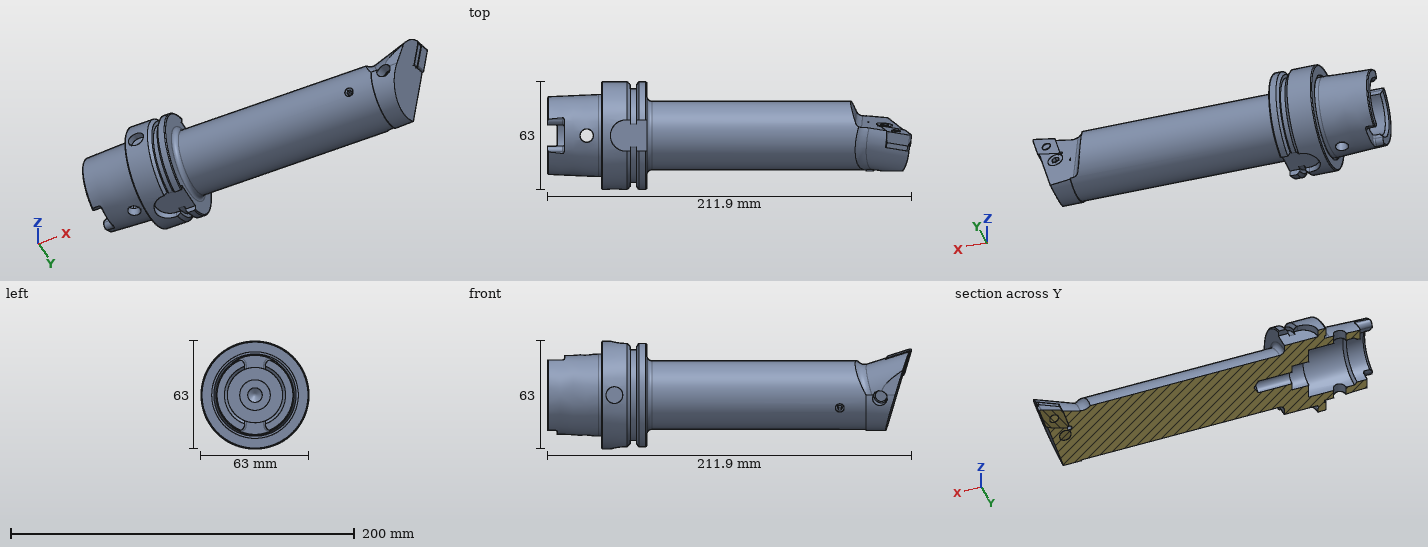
import cadquery as cq
import math


overcut = 84.8

shank_end_radius = 22.7
shank_radius = 24.0
taper_length = 29.7
shank_chamfer = 0.6
bore_mouth_radius = 17.8
bore_radius = 16.0
bore_land_length = 12.0
undercut_radius = 17.8
bore_depth = 42.4
tube_seat_radius = 9.0
tube_seat_depth = 10.5
coolant_radius = 4.2
coolant_depth = 74.2
coolant_tip_angle = 118.0
clamp_hole_x = 22.9
clamp_hole_radius = 3.8

drive_slot_half = 6.1
drive_slot_flare = 3.2
drive_slot_flare_z = 17.4
drive_slot_mouth_half = 12.7
drive_slot_fillet = 1.0
top_drive_slot_depth = 10.0
bottom_drive_slot_depth = 5.7

flange_diameter = 63.0
flange_radius = flange_diameter / 2
flange_start = 31.5
flange_end = 57.8
flange_chamfer = 0.6
face_groove_radius = 25.2
face_groove_depth = 0.8
gripper_start = 46.5
gripper_bevel = 2.0
gripper_floor_start = 48.3
gripper_floor_end = 51.7
gripper_end = 53.2
gripper_wall_radius = 29.5
gripper_floor_radius = 27.3
key_slot_half = 9.1
key_slot_start = 36.7
key_slot_floor = 26.5
chip_hole_x = 39.0
chip_hole_radius = 4.9
chip_hole_depth = 4.5

bar_diameter = 40.0
bar_radius = bar_diameter / 2
neck_fillet = 3.0
head_start = 185.5
head_diameter = 41.3
head_radius = head_diameter / 2
tilt_x = 186.5
tilt_z = -1.7
tilt_radius = 19.0
blend_radius = 6.0
blend_end = 5.7

tip_x = 212.3
tip_y = 0.0
tip_z = 27.3
edge_angle = 17.5
rake_x = 0.1
rake_z = 0.2
insert_angle = 55.0
insert_edge = 15.5
insert_thickness = 6.5
nose_radius = 0.8
shim_thickness = 3.0
shim_end_setback = 0.6
pin_radius = 2.5
pin_recess = 0.5
pin_length = 13.8
corner_relief_radius = 1.3
pocket_floor_x = 182.5
pocket_runout_radius = 4.2
pocket_runout_angle = 65.0
end_setback = 0.8
side_clearance = 4.2

clamp_screw_x = 193.5
clamp_screw_z = -2.0
clamp_screw_hole_radius = 4.2
clamp_screw_radius = 3.4
clamp_screw_hole_depth = 7.8
screw_head_radius = 4.7
screw_head_thickness = 4.2
clamp_socket_across_corners = 4.7
clamp_socket_depth = 2.5
plug_x = 170.2
plug_z = -7.6
plug_radius = 2.5
plug_length = 5.3
plug_recess = 0.6
plug_socket_across_corners = 3.0
plug_socket_depth = 2.5
hexagon_sides = 6

edge_slope = math.tan(math.radians(edge_angle))
tip = cq.Vector(tip_x, tip_y, tip_z)
rake_normal = cq.Vector(rake_x, 1, rake_z).normalized()
edge_direction = cq.Vector(1, -rake_x - rake_z * edge_slope, edge_slope).normalized()
back_direction = edge_direction * -1
in_plane_up = rake_normal.cross(back_direction)
insert_turn = math.radians(insert_angle)
end_edge_direction = back_direction * math.cos(insert_turn) - in_plane_up * math.sin(insert_turn)
insert_center = tip + (back_direction + end_edge_direction) * (insert_edge / 2)
far_corner = tip + (back_direction + end_edge_direction) * insert_edge


def x_cylinder(start, end, radius):
    """A cylinder on the X axis between two X positions."""
    return cq.Workplane("YZ").workplane(offset=start).circle(radius).extrude(end - start)


def rake_plane(origin):
    """A plane parallel to the cutting face, with its own x running back along the top edge."""
    return cq.Workplane(cq.Plane(origin=origin, xDir=back_direction, normal=rake_normal))


def revolve_profile(points):
    """Turn an (x, radius) outline around the X axis."""
    return cq.Workplane("XY").polyline(points).close().revolve(360, (0, 0, 0), (1, 0, 0))


def make_shank_and_flange():
    """Taper shank, flange with gripper groove, and the fillet that leads into the bar."""
    neck_end = flange_end + neck_fillet
    corner = neck_fillet * (1 - math.sqrt(0.5))
    return (
        cq.Workplane("XY")
        .moveTo(0, 0)
        .lineTo(0, shank_end_radius - shank_chamfer)
        .lineTo(shank_chamfer, shank_end_radius)
        .lineTo(taper_length, shank_radius)
        .lineTo(flange_start + face_groove_depth, shank_radius)
        .lineTo(flange_start + face_groove_depth, face_groove_radius)
        .lineTo(flange_start, face_groove_radius)
        .lineTo(flange_start, flange_radius - flange_chamfer)
        .lineTo(flange_start + flange_chamfer, flange_radius)
        .lineTo(gripper_start, flange_radius)
        .lineTo(gripper_floor_start, flange_radius - gripper_bevel)
        .lineTo(gripper_floor_start, gripper_floor_radius)
        .lineTo(gripper_floor_end, gripper_floor_radius)
        .lineTo(gripper_floor_end, gripper_wall_radius)
        .lineTo(gripper_end, flange_radius)
        .lineTo(flange_end - flange_chamfer, flange_radius)
        .lineTo(flange_end, flange_radius - flange_chamfer)
        .lineTo(flange_end, bar_radius + neck_fillet)
        .threePointArc((flange_end + corner, bar_radius + corner), (neck_end, bar_radius))
        .lineTo(neck_end, 0)
        .close()
        .revolve(360, (0, 0, 0), (1, 0, 0))
    )


def make_bore():
    """Clamping bore, coolant tube seat and coolant hole with a drilled tip."""
    mouth = bore_mouth_radius - bore_radius
    undercut_start = bore_land_length + undercut_radius - bore_radius
    seat_end = bore_depth + tube_seat_depth
    drill_tip = coolant_radius / math.tan(math.radians(coolant_tip_angle / 2))
    return revolve_profile([
        (0, 0),
        (0, bore_mouth_radius),
        (mouth, bore_radius),
        (bore_land_length, bore_radius),
        (undercut_start, undercut_radius),
        (bore_depth, undercut_radius),
        (bore_depth, tube_seat_radius),
        (seat_end, tube_seat_radius),
        (seat_end, coolant_radius),
        (coolant_depth, coolant_radius),
        (coolant_depth + drill_tip, 0),
    ])


def make_drive_slot(depth):
    """A slot on the +Z side of the shank end, with walls that flare outward near the outside."""
    outer_half = drive_slot_half + drive_slot_flare
    flare_top = drive_slot_flare_z + drive_slot_flare
    bow = drive_slot_flare * (1 - math.sqrt(0.5))
    flare_middle = drive_slot_flare_z + drive_slot_flare * math.sqrt(0.5)
    return (
        cq.Workplane("YZ")
        .moveTo(-drive_slot_half, 0)
        .lineTo(-drive_slot_half, drive_slot_flare_z)
        .threePointArc((-drive_slot_half - bow, flare_middle), (-outer_half, flare_top))
        .lineTo(-drive_slot_mouth_half, flare_top)
        .lineTo(-drive_slot_mouth_half, flange_radius)
        .lineTo(drive_slot_mouth_half, flange_radius)
        .lineTo(drive_slot_mouth_half, flare_top)
        .lineTo(outer_half, flare_top)
        .threePointArc((drive_slot_half + bow, flare_middle), (drive_slot_half, drive_slot_flare_z))
        .lineTo(drive_slot_half, 0)
        .close()
        .extrude(depth)
        .faces(">X")
        .edges()
        .fillet(drive_slot_fillet)
    )


def make_key_slot():
    """A round-ended slot on the +Z side of the flange, open toward the bar."""
    center_x = key_slot_start + key_slot_half
    return (
        cq.Workplane("XY")
        .workplane(offset=key_slot_floor)
        .moveTo(flange_end, -key_slot_half)
        .lineTo(center_x, -key_slot_half)
        .threePointArc((key_slot_start, 0), (center_x, key_slot_half))
        .lineTo(flange_end, key_slot_half)
        .close()
        .extrude(flange_radius)
    )


def half_turn(shape):
    """The shape turned to the opposite side of the bar axis."""
    return shape.rotate((0, 0, 0), (1, 0, 0), 180)


def upper_box(start, low_y):
    """The space above Z = 0, from an X position onward and from a Y position to +Y."""
    return cq.Workplane("XY").box(overcut, overcut, overcut, centered=False).translate((start, low_y, 0))


def make_bar():
    """The bar, its upper half flared into the tilted head, which is clipped by a side flat."""
    side_direction = cq.Vector(0, 0, 1).cross(edge_direction).normalized()
    tilt_plane = cq.Plane(origin=(tilt_x, 0, tilt_z), xDir=side_direction, normal=edge_direction)
    blend_start = blend_end - blend_radius

    stock = x_cylinder(flange_end, tilt_x, bar_radius)
    past_blend = cq.Workplane(tilt_plane).workplane(offset=blend_start)
    past_blend = past_blend.rect(overcut, overcut).extrude(overcut)
    upper_half = upper_box(flange_end + overcut, -overcut / 2)
    bar = stock.cut(past_blend.intersect(upper_half))

    profile_plane = cq.Plane(origin=(tilt_x, 0, tilt_z), xDir=edge_direction, normal=side_direction * -1)
    sagitta = blend_radius * (1 - math.sqrt(0.5))
    flare = (
        cq.Workplane(profile_plane)
        .moveTo(blend_start, 0)
        .lineTo(blend_start, tilt_radius + blend_radius)
        .threePointArc((blend_start + sagitta, tilt_radius + sagitta), (blend_end, tilt_radius))
        .lineTo(blend_end, 0)
        .close()
        .revolve(360, (0, 0, 0), (1, 0, 0))
        .intersect(x_cylinder(flange_end, tip_x, bar_radius))
        .intersect(upper_half)
    )

    head_plane = cq.Workplane(tilt_plane).workplane(offset=blend_end)
    round_top = head_plane.circle(tilt_radius).extrude(overcut)
    straight_sides = head_plane.center(0, -tilt_radius / 2).rect(2 * tilt_radius, tilt_radius)
    straight_sides = straight_sides.extrude(overcut)
    upper_head = round_top.union(straight_sides).intersect(upper_box(flange_end + overcut, -head_radius))

    lower_head = x_cylinder(head_start, tip_x, head_radius).cut(upper_half)
    return bar.union(flare).union(lower_head).union(upper_head)


def make_end_cutter():
    """The space past the end face, which holds the end cutting edge and stands square to the rake."""
    outward = end_edge_direction.cross(rake_normal)
    origin = tip - outward * end_setback
    plane = cq.Plane(origin=origin, xDir=rake_normal, normal=outward)
    return cq.Workplane(plane).rect(2 * overcut, 2 * overcut).extrude(overcut)


def make_chip_pocket():
    """The space above the cutting plane, with a rounded run-out at constant X."""
    back = cq.Vector(-1, rake_x, 0).normalized()
    across = rake_normal.cross(back)
    plane = cq.Plane(origin=tip, xDir=back, normal=across)
    floor_length = tip_x - pocket_floor_x
    angle = math.radians(pocket_runout_angle)

    def on_arc(turn):
        return (
            floor_length + pocket_runout_radius * math.sin(turn),
            -pocket_runout_radius * (1 - math.cos(turn)),
        )

    arc_end = on_arc(angle)
    wall_top = (arc_end[0] + overcut / math.tan(angle), arc_end[1] - overcut)
    return (
        cq.Workplane(plane)
        .moveTo(-overcut, 0)
        .lineTo(floor_length, 0)
        .threePointArc(on_arc(angle / 2), arc_end)
        .lineTo(*wall_top)
        .lineTo(-overcut, wall_top[1])
        .close()
        .extrude(overcut, both=True)
    )


def make_plate(depth, thickness, end_edge_offset):
    """A rhombic plate under the cutting plane, its end edge shifted back along the top edge."""
    end_x = math.cos(insert_turn)
    end_y = -math.sin(insert_turn)
    near = end_edge_offset
    far = insert_edge

    def corner(along_top, along_end):
        return (along_top + along_end * end_x, along_end * end_y)

    plate = (
        rake_plane(tip - rake_normal * (depth + thickness))
        .polyline([corner(near, 0), corner(far, 0), corner(far, far), corner(near, far)])
        .close()
        .extrude(thickness)
    )
    return plate.edges(cq.selectors.ParallelDirSelector(rake_normal)).fillet(nose_radius)


def rake_cylinder(origin, start, length, radius):
    """A cylinder square to the cutting plane, measured from its origin against the rake normal."""
    plane = rake_plane(origin - rake_normal * (start + length))
    return plane.circle(radius).extrude(length)


def make_insert():
    return make_plate(0, insert_thickness, 0)


def make_shim():
    return make_plate(insert_thickness, shim_thickness, shim_end_setback)


def make_side_clearance():
    """The space above the top sides of insert and shim, which keeps those sides exposed."""
    depth = insert_thickness + shim_thickness
    return (
        rake_plane(tip - rake_normal * depth)
        .center(insert_edge / 2, side_clearance / 2)
        .rect(insert_edge, side_clearance)
        .extrude(depth)
    )


def make_pin():
    return rake_cylinder(insert_center, pin_recess, pin_length, pin_radius)


def make_pin_hole():
    return rake_cylinder(insert_center, 0, pin_recess + pin_length, pin_radius)


def make_corner_relief():
    return rake_cylinder(far_corner, 0, insert_thickness + shim_thickness, corner_relief_radius)


screw_mouth = cq.Vector(clamp_screw_x, -head_radius, clamp_screw_z)
screw_path_length = (tip - screw_mouth).dot(rake_normal)
screw_top = screw_mouth + rake_normal * screw_path_length


def make_clamp_screw_blank():
    """Solid screw shape: a head flush with the chip pocket and a shaft ending short of the -Y side."""
    shaft_length = screw_path_length - clamp_screw_hole_depth
    head = rake_cylinder(screw_top, 0, screw_head_thickness, screw_head_radius)
    return head.union(rake_cylinder(screw_top, 0, shaft_length, clamp_screw_radius))


def make_clamp_screw():
    socket = rake_plane(screw_top - rake_normal * clamp_socket_depth)
    socket = socket.polygon(hexagon_sides, clamp_socket_across_corners).extrude(clamp_socket_depth)
    return make_clamp_screw_blank().cut(socket)


def make_clamp_screw_hole():
    """Stepped hole through the head: a seat for the screw and a wider opening on the -Y side."""
    depth = clamp_screw_hole_depth
    opening = rake_cylinder(screw_mouth, -depth, 2 * depth, clamp_screw_hole_radius)
    return make_clamp_screw_blank().union(opening)


def plug_plane(depth):
    """A plane facing outward at the plug, at a depth below the bar surface."""
    outward = cq.Vector(0, -math.sqrt(bar_radius**2 - plug_z**2), plug_z).normalized()
    origin = cq.Vector(plug_x, 0, 0) + outward * (bar_radius - depth)
    return cq.Workplane(cq.Plane(origin=origin, xDir=(1, 0, 0), normal=outward))


def make_plug_hole():
    depth = plug_recess + plug_length
    return plug_plane(depth).circle(plug_radius).extrude(2 * depth)


def make_plug_screw():
    blank = plug_plane(plug_recess + plug_length).circle(plug_radius).extrude(plug_length)
    socket = plug_plane(plug_recess + plug_socket_depth)
    socket = socket.polygon(hexagon_sides, plug_socket_across_corners).extrude(plug_socket_depth)
    return blank.cut(socket)


def make_holder():
    """Shank, flange, bar and head in one piece, with seats for all the fitted parts."""
    bar = make_bar().cut(make_chip_pocket()).cut(make_end_cutter())
    holder = make_shank_and_flange().union(bar).cut(make_bore())

    clamp_hole = cq.Workplane("XY").center(clamp_hole_x, 0).circle(clamp_hole_radius)
    holder = holder.cut(clamp_hole.extrude(overcut, both=True))
    holder = holder.cut(make_drive_slot(top_drive_slot_depth))
    holder = holder.cut(half_turn(make_drive_slot(bottom_drive_slot_depth)))
    holder = holder.cut(make_key_slot()).cut(half_turn(make_key_slot()))

    chip_floor = cq.Workplane("XZ").workplane(offset=flange_radius - chip_hole_depth)
    holder = holder.cut(chip_floor.center(chip_hole_x, 0).circle(chip_hole_radius).extrude(overcut))

    holder = holder.cut(make_insert()).cut(make_shim()).cut(make_side_clearance())
    holder = holder.cut(make_corner_relief()).cut(make_pin_hole())
    return holder.cut(make_clamp_screw_hole()).cut(make_plug_hole())


holder = make_holder()
insert = make_insert().cut(make_pin_hole())
shim = make_shim().cut(make_pin_hole())
pin = make_pin()
clamp_screw = make_clamp_screw()
plug_screw = make_plug_screw()

bodies = [holder, insert, shim, pin, clamp_screw, plug_screw]

result = cq.Compound.makeCompound([body.solids().val() for body in bodies])